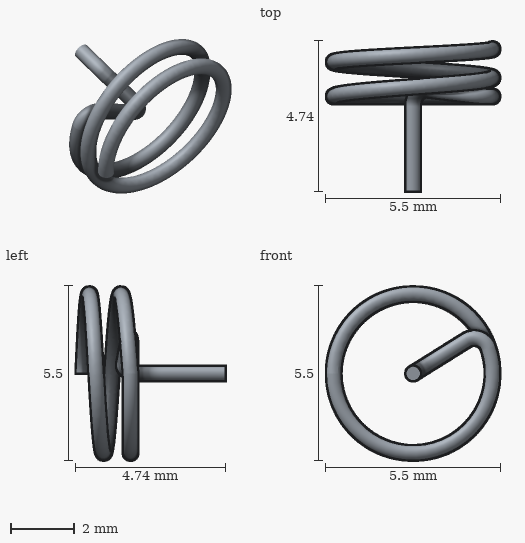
import cadquery as cq
import math

wire_diameter = 0.5
outer_diameter = 5.5
coil_radius = (outer_diameter - wire_diameter) / 2
coil_turns = 1.5
coil_length = 1.49
first_turn_pitch = 1.265
pitch_falloff = (first_turn_pitch - coil_length / coil_turns) / coil_turns
points_per_turn = 24

leg_tip_y = -3.005
leg_corner_y = 0.27
leg_bend_radius = 0.5
spoke_angle = 32.0
spoke_bend_angle = 13.5


def point_on_ring(degrees, radius=coil_radius):
    angle = math.radians(degrees)
    return cq.Vector(radius * math.cos(angle), 0, radius * math.sin(angle))


def bend_arc(corner, before, after, tangent_length):
    """Start, middle and end of the arc rounding a corner between two directions leading away from it."""
    half_angle = before.getAngle(after) / 2
    radius = tangent_length * math.tan(half_angle)
    corner_to_middle = tangent_length / math.cos(half_angle) - radius
    middle = corner + (before + after).normalized() * corner_to_middle
    return corner + before * tangent_length, middle, corner + after * tangent_length


def coil_point(turns):
    """Centreline of the coil, which runs clockwise from -X when looking along +Y."""
    flat = point_on_ring(180 - 360 * turns)
    rise = first_turn_pitch * turns - pitch_falloff * turns**2
    return flat + cq.Vector(0, rise, 0)


ring_end_angle = spoke_angle - spoke_bend_angle
ring_end = point_on_ring(ring_end_angle)
ring_bend_length = coil_radius * math.tan(math.radians(spoke_bend_angle))
ring_corner = point_on_ring(spoke_angle, coil_radius / math.cos(math.radians(spoke_bend_angle)))
leg_corner = cq.Vector(0, leg_corner_y, 0)
leg_tip = cq.Vector(0, leg_tip_y, 0)

leg_direction = (leg_tip - leg_corner).normalized()
spoke_direction = (ring_corner - leg_corner).normalized()
ring_direction = (ring_end - ring_corner).normalized()
leg_bend_length = leg_bend_radius / math.tan(leg_direction.getAngle(spoke_direction) / 2)

leg_bend = bend_arc(leg_corner, leg_direction, spoke_direction, leg_bend_length)
ring_bend = bend_arc(ring_corner, spoke_direction * -1, ring_direction, ring_bend_length)

ring_start = point_on_ring(180)
bent_path = cq.Wire.assembleEdges([
    cq.Edge.makeLine(leg_tip, leg_bend[0]),
    cq.Edge.makeThreePointArc(*leg_bend),
    cq.Edge.makeLine(leg_bend[2], ring_bend[0]),
    cq.Edge.makeThreePointArc(*ring_bend),
    cq.Edge.makeThreePointArc(ring_end, point_on_ring((ring_end_angle - 180) / 2), ring_start),
])
leg_end_plane = cq.Plane(origin=leg_tip, normal=(0, 1, 0))
bent_wire = cq.Workplane(leg_end_plane).circle(wire_diameter / 2).sweep(cq.Workplane(bent_path))

steps = round(coil_turns * points_per_turn)
coil_path = cq.Edge.makeSpline([coil_point(coil_turns * i / steps) for i in range(steps + 1)])
coil_start_plane = cq.Plane(origin=ring_start, normal=(0, 0, 1))
coil = cq.Workplane(coil_start_plane).circle(wire_diameter / 2).sweep(cq.Workplane(coil_path))

result = bent_wire.union(coil)